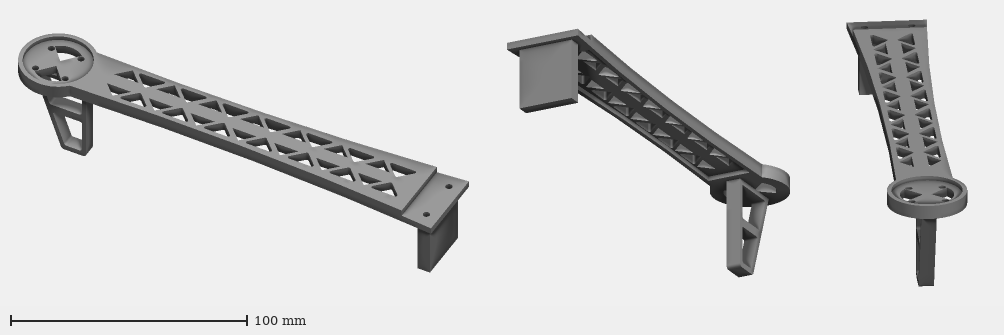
import cadquery as cq
import math


span = 162.0
total_height = 46.0
arm_angle = 45.0

plate_thickness = 6.0
ring_radius = 17.0
end_half_width = ring_radius
arm_length = (span - ring_radius) * math.sqrt(2) - end_half_width
root_half_width = ring_radius / math.sqrt(2)
waist_half_width = 11.2
waist_distance = 58.3

web_thickness = 4.0
rim_width = 2.0

pad_length = 14.7
pad_thickness = 3.0

recess_radius = 15.0
recess_depth = 2.0
screw_diameter = 3.0
drill_tip_angle = 118.0
motor_screw_radius = 10.0
motor_screw_depth = 2.9

sector_apex = 1.8
sector_radius = 9.7
sector_half_angle = 41.5

cutout_count = 7
cutout_pitch = 20.1
cutout_outer = 9.0
small_cutout_height = 5.8
small_cutout_start = 31.0
large_cutout_height = 7.3
large_cutout_start = 40.5
large_cutout_fillet = 0.8

block_length = 6.0
block_width = 25.0
block_height = 26.7
block_setback = 2.9
mount_screw_spacing = 20.1
mount_screw_depth = 10.0

leg_height = total_height - plate_thickness
leg_width = 6.5
leg_inner = 15.0
leg_top_outer = -10.9
leg_foot_outer = 3.4
leg_foot_fillet = 1.5
leg_wall = 2.0
leg_slanted_wall = 2.3
leg_window_depths = ((2.1, 17.3), (21.2, 37.5))
window_top_fillet = 0.6
window_bottom_fillet = 1.3


def arm_strip(inset, height):
    """Waisted strip from the ring centre to the far end, its long edges moved inwards by inset."""
    root = root_half_width - inset
    waist = waist_half_width - inset
    end = end_half_width - inset
    return (
        cq.Workplane("XY")
        .moveTo(0, -root)
        .lineTo(root_half_width, -root)
        .threePointArc((waist_distance, -waist), (arm_length, -end))
        .lineTo(arm_length, end)
        .threePointArc((waist_distance, waist), (root_half_width, root))
        .lineTo(0, root)
        .close()
        .extrude(height)
    )


def make_plate():
    ring = cq.Workplane("XY").circle(ring_radius).extrude(plate_thickness)
    pad_relief = (
        cq.Workplane("XY", origin=(arm_length, 0, pad_thickness))
        .rect(2 * pad_length, 4 * end_half_width)
        .extrude(plate_thickness)
    )
    return arm_strip(0, plate_thickness).union(ring).cut(pad_relief)


def make_underside_pocket():
    """Hollow below the web, leaving a rim along the arm edges and at both ends."""
    start = ring_radius + rim_width
    length = arm_length - pad_length - rim_width - start
    bounds = (
        cq.Workplane("XY")
        .box(length, 2 * end_half_width, plate_thickness, centered=(False, True, False))
        .translate((start, 0, 0))
    )
    return arm_strip(rim_width, plate_thickness - web_thickness).intersect(bounds)


def make_recess():
    floor = plate_thickness - recess_depth
    return cq.Workplane("XY", origin=(0, 0, floor)).circle(recess_radius).extrude(recess_depth)


def drilled_hole(x, y, top, depth):
    """Blind hole with a conical drill tip below its full-diameter depth."""
    radius = screw_diameter / 2
    tip_length = radius / math.tan(math.radians(drill_tip_angle / 2))
    half_profile = (
        cq.Workplane("XZ")
        .polyline([(0, 0), (radius, 0), (radius, -depth), (0, -depth - tip_length)])
        .close()
    )
    return half_profile.revolve(360, (0, 0), (0, 1)).translate((x, y, top))


def make_screw_holes():
    holes = cq.Workplane("XY")
    for quarter in range(4):
        angle = math.radians(45 + 90 * quarter)
        x = motor_screw_radius * math.cos(angle)
        y = motor_screw_radius * math.sin(angle)
        holes = holes.add(drilled_hole(x, y, plate_thickness - recess_depth, motor_screw_depth))
    block_centre = arm_length - block_setback - block_length / 2
    for side in (-1, 1):
        y = side * mount_screw_spacing / 2
        holes = holes.add(drilled_hole(block_centre, y, pad_thickness, mount_screw_depth))
    return holes.combine()


def make_sector_openings():
    half_angle = math.radians(sector_half_angle)
    corner_x = sector_radius * math.sin(half_angle)
    corner_y = sector_apex + sector_radius * math.cos(half_angle)
    sector = (
        cq.Workplane("XY")
        .moveTo(0, sector_apex)
        .lineTo(corner_x, corner_y)
        .threePointArc((0, sector_apex + sector_radius), (-corner_x, corner_y))
        .close()
        .extrude(plate_thickness)
    )
    return sector.union(sector.mirror("XZ"))


def right_triangle(apex_y, base_y):
    """45-degree triangle with its right angle at apex_y and its long side at base_y."""
    half_base = abs(base_y - apex_y)
    return (
        cq.Workplane("XY")
        .polyline([(0, apex_y), (half_base, base_y), (-half_base, base_y)])
        .close()
        .extrude(plate_thickness)
    )


def make_cutouts():
    small = right_triangle(cutout_outer, cutout_outer - small_cutout_height)
    large = right_triangle(cutout_outer - large_cutout_height, cutout_outer)
    large = large.edges("|Z").fillet(large_cutout_fillet)
    cutouts = cq.Workplane("XY")
    for index in range(cutout_count):
        shift = index * cutout_pitch
        cutouts = cutouts.add(small.translate((small_cutout_start + shift, 0, 0)))
        cutouts = cutouts.add(large.translate((large_cutout_start + shift, 0, 0)))
    one_side = cutouts.combine()
    return one_side.union(one_side.mirror("XZ"))


def make_block():
    return (
        cq.Workplane("XY")
        .box(block_length, block_width, block_height, centered=(False, True, False))
        .translate((arm_length - block_setback - block_length, 0, -block_height))
    )


def leg_prism(points):
    return cq.Workplane("XZ").polyline(points).close().extrude(leg_width / 2, both=True)


def slanted_edge_x(depth):
    return leg_top_outer + (leg_foot_outer - leg_top_outer) * depth / leg_height


def make_leg():
    leg = leg_prism(
        [
            (leg_top_outer, 0),
            (leg_inner, 0),
            (leg_inner, -leg_height),
            (leg_foot_outer, -leg_height),
        ]
    )
    leg = leg.edges("|Y and <Z").fillet(leg_foot_fillet)
    for top, bottom in leg_window_depths:
        window = leg_prism(
            [
                (slanted_edge_x(top) + leg_slanted_wall, -top),
                (leg_inner - leg_wall, -top),
                (leg_inner - leg_wall, -bottom),
                (slanted_edge_x(bottom) + leg_slanted_wall, -bottom),
            ]
        )
        window = window.edges("|Y and <Z").fillet(window_bottom_fillet)
        window = window.edges("|Y and >Z").fillet(window_top_fillet)
        leg = leg.cut(window)
    return leg


plate = make_plate().cut(make_underside_pocket()).cut(make_recess())
plate = plate.cut(make_sector_openings()).cut(make_cutouts())
arm = plate.union(make_block()).cut(make_screw_holes()).union(make_leg())
result = arm.rotate((0, 0, 0), (0, 0, 1), arm_angle)